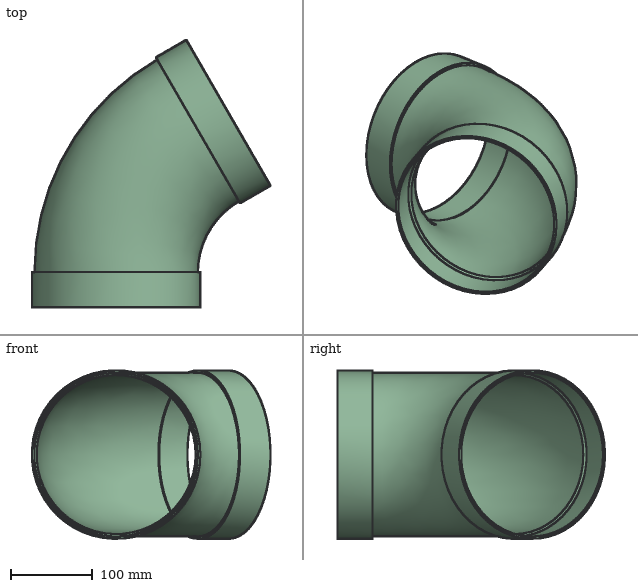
import cadquery as cq
import math

bend_angle = 60.0
bend_radius = 200.0
pipe_diameter = 200.0
pipe_bore = 194.2
collar_diameter = 206.0
socket_diameter = 200.0
socket_depth = 40.0
shoulder_length = 3.1
collar_length = socket_depth + shoulder_length

turn = math.radians(bend_angle)
outlet_direction = (math.sin(turn), math.cos(turn), 0)
bend_end = (
    bend_radius * (1 - math.cos(turn)),
    collar_length + bend_radius * math.sin(turn),
    0,
)
bend_plane = cq.Plane(origin=(0, collar_length, 0), xDir=(1, 0, 0), normal=(0, -1, 0))
outlet_end = (
    bend_end[0] + collar_length * outlet_direction[0],
    bend_end[1] + collar_length * outlet_direction[1],
    0,
)
inlet_plane = cq.Plane(origin=(0, 0, 0), xDir=(1, 0, 0), normal=(0, 0, 1))
outlet_plane = cq.Plane(
    origin=outlet_end,
    xDir=(-math.cos(turn), math.sin(turn), 0),
    normal=(0, 0, 1),
)


def curved_pipe():
    """Hollow elbow, revolved about a vertical axis at the bend centre."""
    ring = cq.Workplane(bend_plane).circle(pipe_diameter / 2).circle(pipe_bore / 2)
    return ring.revolve(bend_angle, (bend_radius, 0), (bend_radius, -1))


def collar(plane):
    """Collar revolved about its axis, with a socket that tapers into the pipe bore."""
    wall_section = [
        (socket_diameter / 2, 0),
        (collar_diameter / 2, 0),
        (collar_diameter / 2, collar_length),
        (pipe_bore / 2, collar_length),
        (socket_diameter / 2, socket_depth),
    ]
    return cq.Workplane(plane).polyline(wall_section).close().revolve(360, (0, 0), (0, 1))


result = curved_pipe().union(collar(inlet_plane)).union(collar(outlet_plane))